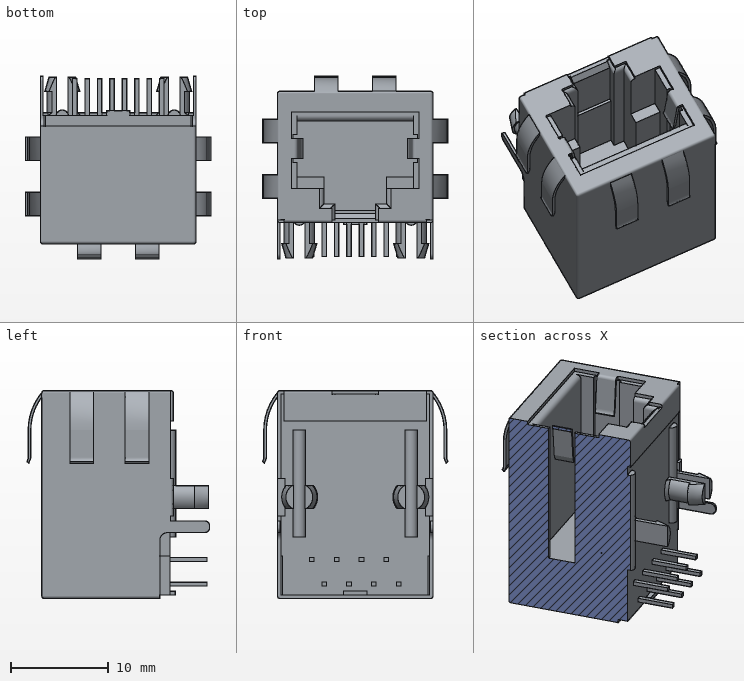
import cadquery as cq
import math


WIDTH = 15.92
DEPTH = 13.17
HEIGHT = 21.27
SHEET = 0.36
FLAP_SHEET = 0.28
EDGE_RADIUS = 0.27
HALF_WIDTH = WIDTH / 2
OVERLAP = 0.1

FLAP_HALF_WIDTH = 7.27
FLAP_BOTTOM = 18.15
SIDE_STEP_TOP = 6.75
SIDE_STEP_DEPTH = 1.1
SIDE_STEP_RADIUS = 0.8

FACE_RECESS = 0.05
HOUSING_HALF_WIDTH = HALF_WIDTH - SHEET
FOOT_HALF_WIDTH = 7.46
FOOT_TOP = 4.35
FOOT_GAP_DEPTH = 1.6
EMBED_Y = FACE_RECESS + OVERLAP
STOP_HALF_WIDTH = 1.18
STOP_HEIGHT = 0.42
STOP_PROJECTION = 0.48

SHEET_BOTTOM = HEIGHT - SHEET
WINDOW_HALF_WIDTH = 6.52
WINDOW_Y = (3.22, 11.05)
STEP_HALF_WIDTH = 3.66
STEP_Y = 1.18
NOTCH_HALF_WIDTH = 2.37
LATCH_HALF_WIDTH = 2.08
EDGE_ROUND = 0.46
CAVITY_HALF_WIDTH = 5.97
CAVITY_Y = (4.37, 10.1)
CAVITY_FLOOR = 6.0
LIP_RADIUS = 0.53
LEDGE_Z = 14.0
LATCH_WALL_Y = (0.95, 0.67)
LATCH_CHAMFER = 0.52

TAB_CENTER_Y = 7.3
TAB_WIDTH = 2.06
TAB_SLOT_WIDTH = 2.84
TAB_SLOT_HALF_WIDTH = 6.34
TAB_OUTER_X = 6.24
TAB_TIP_X = 5.35
TAB_LENGTH = 4.0
TAB_KICK = 0.17
TAB_KICK_DROP = 0.4
TAB_SHEET = 0.25

SPRING_WIDTH = 2.43
SPRING_SHEET = 0.29
SPRING_REACH = 1.40
SPRING_ROOT_Z = 21.15
SPRING_ROOT_INSET = 0.07
SPRING_STRAIGHT_TOP = 17.2
SPRING_STRAIGHT_BOTTOM = 14.39
SPRING_LIP_DROP = 0.36
SPRING_LIP = 0.13
SIDE_SPRING_Y = (3.42, 9.08)
BACK_SPRING_X = (-2.97, 2.97)

POST_X = 5.72
POST_Z = 10.38
POST_HALF_HEIGHT = 1.18
POST_SLOT = 1.16
POST_RADIUS = 1.57
COLLAR_RADIUS = 1.87
COLLAR_LENGTH = 0.28
HEAD_RADIUS = 1.80
HEAD_TIP_RADIUS = 1.37
HEAD_START = 2.43
POST_LENGTH = 3.9
RIB_RADIUS = 0.635
RIB_CENTER_Y = 0.09
RIB_Z = (6.28, 17.23)

GROUND_LEG_TIP = 4.0
GROUND_LEG_HEIGHT = 1.2
GROUND_LEG_RADIUS = 0.5
FOLD_TAB_INNER_X = 7.16
FOLD_TAB_Z = (8.43, 12.3)

PIN_WIDTH = 0.48
PIN_HEIGHT = 0.42
PIN_TIP = 3.74
PIN_PITCH = 2.54
PIN_ROWS = ((4.0, -4.445), (1.48, -3.175))
PINS_PER_ROW = 4


def box(x0, x1, y0, y1, z0, z1):
    return cq.Workplane("XY").box(x1 - x0, y1 - y0, z1 - z0, centered=False).translate((x0, y0, z0))


def span(center, length):
    return center - length / 2, center + length / 2


def mirrored(shape):
    return shape.union(shape.mirror("YZ"))


def centered_box(half_width, y0, y1, z0, z1):
    return box(-half_width, half_width, y0, y1, z0, z1)


def make_body():
    body = centered_box(HALF_WIDTH, 0, DEPTH, 0, HEIGHT)
    body = body.edges("|Y").fillet(EDGE_RADIUS).faces(">Y").edges().fillet(EDGE_RADIUS)
    body = body.cut(centered_box(HOUSING_HALF_WIDTH, 0, FACE_RECESS, SHEET, SHEET_BOTTOM))
    step = (
        cq.Workplane("YZ")
        .rect(2 * SIDE_STEP_DEPTH, 2 * SIDE_STEP_TOP)
        .extrude(WIDTH, both=True)
        .edges("|X and >Y and >Z")
        .fillet(SIDE_STEP_RADIUS)
    )
    keep = centered_box(HOUSING_HALF_WIDTH, 0, SIDE_STEP_DEPTH, FOOT_TOP, SIDE_STEP_TOP)
    keep = keep.union(centered_box(FOOT_HALF_WIDTH, 0, SIDE_STEP_DEPTH, SHEET, FOOT_TOP))
    gap = box(FOOT_HALF_WIDTH, HOUSING_HALF_WIDTH, 0, FOOT_GAP_DEPTH, SHEET, FOOT_TOP)
    return body.cut(step.cut(keep)).cut(mirrored(gap))


def make_flap():
    flap = centered_box(FLAP_HALF_WIDTH, -FLAP_SHEET, OVERLAP, FLAP_BOTTOM, HEIGHT)
    flap = flap.edges("|X and <Y and >Z").fillet(EDGE_RADIUS)
    notch = centered_box(NOTCH_HALF_WIDTH, -FLAP_SHEET, OVERLAP, SHEET_BOTTOM, HEIGHT)
    return flap.cut(notch)


def make_latch_channel():
    """Stepped channel for the plug's latch, its edges rounded just below the sheet."""
    step_x = STEP_HALF_WIDTH - EDGE_ROUND
    notch_x = LATCH_HALF_WIDTH
    step_y = STEP_Y + EDGE_ROUND
    wall_deep, wall_top = LATCH_WALL_Y
    back = CAVITY_Y[0]
    channel = centered_box(step_x, step_y, back, CAVITY_FLOOR, SHEET_BOTTOM)
    channel = channel.union(centered_box(notch_x, wall_deep, back, CAVITY_FLOOR, LEDGE_Z))
    channel = channel.union(centered_box(notch_x, wall_top, back, LEDGE_Z, SHEET_BOTTOM))
    slab_bottom = SHEET_BOTTOM - 2 * EDGE_ROUND
    slab = centered_box(2 * STEP_HALF_WIDTH, 0, WINDOW_Y[0], slab_bottom, SHEET_BOTTOM)
    shoulders = slab.cut(centered_box(step_x, step_y, back, slab_bottom, SHEET_BOTTOM))
    shoulders = shoulders.cut(centered_box(notch_x, 0, back, slab_bottom, SHEET_BOTTOM))
    channel_edges = cq.selectors.BoxSelector(
        (-STEP_HALF_WIDTH, 0, SHEET_BOTTOM - OVERLAP),
        (STEP_HALF_WIDTH, WINDOW_Y[0], SHEET_BOTTOM + OVERLAP),
    )
    shoulders = shoulders.edges(channel_edges).edges("not |Z").fillet(EDGE_ROUND)
    rounding = slab.cut(shoulders).cut(centered_box(notch_x, 0, wall_top, slab_bottom, SHEET_BOTTOM))
    chamfer = (
        cq.Workplane("YZ")
        .moveTo(wall_top, SHEET_BOTTOM)
        .lineTo(wall_top - LATCH_CHAMFER, SHEET_BOTTOM)
        .lineTo(wall_top, SHEET_BOTTOM - LATCH_CHAMFER)
        .close()
        .extrude(notch_x, both=True)
    )
    return channel.union(rounding).union(chamfer)


def make_port():
    port = centered_box(WINDOW_HALF_WIDTH, *WINDOW_Y, SHEET_BOTTOM, HEIGHT)
    port = port.union(centered_box(STEP_HALF_WIDTH, STEP_Y, WINDOW_Y[0], SHEET_BOTTOM, HEIGHT))
    port = port.union(centered_box(NOTCH_HALF_WIDTH, 0, STEP_Y, SHEET_BOTTOM, HEIGHT))
    port = port.union(centered_box(CAVITY_HALF_WIDTH, *CAVITY_Y, CAVITY_FLOOR, SHEET_BOTTOM))
    port = port.union(centered_box(CAVITY_HALF_WIDTH, WINDOW_Y[0], CAVITY_Y[0], LEDGE_Z, SHEET_BOTTOM))
    port = port.union(make_latch_channel())
    lip = centered_box(
        CAVITY_HALF_WIDTH, CAVITY_Y[1], CAVITY_Y[1] + LIP_RADIUS, SHEET_BOTTOM - LIP_RADIUS, SHEET_BOTTOM
    )
    lip_round = (
        cq.Workplane("YZ", origin=(0, CAVITY_Y[1] + LIP_RADIUS, SHEET_BOTTOM - LIP_RADIUS))
        .circle(LIP_RADIUS)
        .extrude(WIDTH, both=True)
    )
    port = port.union(lip.cut(lip_round))
    slot_y = span(TAB_CENTER_Y, TAB_SLOT_WIDTH)
    port = port.union(centered_box(TAB_SLOT_HALF_WIDTH, *slot_y, CAVITY_FLOOR, SHEET_BOTTOM))
    tab_y = span(TAB_CENTER_Y, TAB_WIDTH)
    bridge = box(TAB_OUTER_X, WINDOW_HALF_WIDTH, *tab_y, SHEET_BOTTOM, HEIGHT)
    port = port.cut(mirrored(bridge))
    return port


def make_contact_tabs():
    """Sheet tongues bent down into the port and kicked inward at the tip."""
    tip_z = HEIGHT - TAB_LENGTH
    kick_x = TAB_TIP_X + TAB_KICK
    kick_z = tip_z + TAB_KICK_DROP
    bend_rise = SHEET * math.sqrt(0.5)
    tip_rise = TAB_SHEET * math.sqrt(0.5)
    panel_x = TAB_OUTER_X - SHEET
    tab = (
        cq.Workplane("XZ", origin=(0, TAB_CENTER_Y, 0))
        .moveTo(WINDOW_HALF_WIDTH, HEIGHT)
        .lineTo(TAB_OUTER_X, HEIGHT)
        .threePointArc((TAB_OUTER_X - bend_rise, SHEET_BOTTOM + bend_rise), (panel_x, SHEET_BOTTOM))
        .lineTo(kick_x, kick_z)
        .tangentArcPoint((TAB_TIP_X, tip_z), relative=False)
        .lineTo(TAB_TIP_X + tip_rise, tip_z - tip_rise)
        .lineTo(kick_x + TAB_SHEET, kick_z)
        .lineTo(panel_x + TAB_SHEET, SHEET_BOTTOM)
        .lineTo(WINDOW_HALF_WIDTH, SHEET_BOTTOM)
        .close()
        .extrude(TAB_WIDTH / 2, both=True)
    )
    return mirrored(tab)


def make_spring():
    """Spring standing off a wall at X = 0, bowed towards +X and centred on Y = 0."""
    rise = SPRING_ROOT_Z - SPRING_STRAIGHT_TOP
    run = SPRING_REACH + SPRING_ROOT_INSET
    outer_radius = (run ** 2 + rise ** 2) / (2 * run)
    inner_radius = outer_radius - SPRING_SHEET
    center_x = SPRING_REACH - outer_radius
    root_angle = math.asin(rise / outer_radius)

    def on_arc(radius, angle):
        return (center_x + radius * math.cos(angle), SPRING_STRAIGHT_TOP + radius * math.sin(angle))

    inner_x = SPRING_REACH - SPRING_SHEET
    lip_x = SPRING_REACH + SPRING_LIP
    lip_z = SPRING_STRAIGHT_BOTTOM - SPRING_LIP_DROP
    lip_sheet = SPRING_SHEET / math.sqrt(2)
    return (
        cq.Workplane("XZ")
        .moveTo(SPRING_REACH, SPRING_STRAIGHT_TOP)
        .lineTo(SPRING_REACH, SPRING_STRAIGHT_BOTTOM)
        .tangentArcPoint((lip_x, lip_z), relative=False)
        .lineTo(lip_x - lip_sheet, lip_z - lip_sheet)
        .lineTo(inner_x, SPRING_STRAIGHT_BOTTOM)
        .lineTo(inner_x, SPRING_STRAIGHT_TOP)
        .threePointArc(on_arc(inner_radius, root_angle / 2), on_arc(inner_radius, root_angle))
        .lineTo(*on_arc(outer_radius, root_angle))
        .threePointArc(on_arc(outer_radius, root_angle / 2), (SPRING_REACH, SPRING_STRAIGHT_TOP))
        .close()
        .extrude(SPRING_WIDTH / 2, both=True)
    )


def make_springs():
    spring = make_spring()
    side_spring = spring.translate((HALF_WIDTH, 0, 0))
    back_spring = spring.rotate((0, 0, 0), (0, 0, 1), 90).translate((0, DEPTH, 0))
    springs = cq.Workplane("XY")
    for y in SIDE_SPRING_Y:
        springs = springs.add(mirrored(side_spring.translate((0, y, 0))))
    for x in BACK_SPRING_X:
        springs = springs.add(back_spring.translate((x, 0, 0)))
    return springs


def make_post():
    """Split snap-in post: revolved profile, flat top and bottom, slot along its length."""
    post = (
        cq.Workplane("XY")
        .moveTo(0, EMBED_Y)
        .lineTo(COLLAR_RADIUS, EMBED_Y)
        .lineTo(COLLAR_RADIUS, FACE_RECESS)
        .lineTo(POST_RADIUS, -COLLAR_LENGTH)
        .lineTo(POST_RADIUS, -HEAD_START)
        .lineTo(HEAD_RADIUS, -HEAD_START)
        .lineTo(HEAD_TIP_RADIUS, -POST_LENGTH)
        .lineTo(0, -POST_LENGTH)
        .close()
        .revolve(360, (0, 0, 0), (0, 1, 0))
    )
    flats = centered_box(COLLAR_RADIUS, -POST_LENGTH, DEPTH, -POST_HALF_HEIGHT, POST_HALF_HEIGHT)
    slot = centered_box(POST_SLOT / 2, -POST_LENGTH, FACE_RECESS, -POST_HALF_HEIGHT, POST_HALF_HEIGHT)
    return post.intersect(flats).cut(slot).translate((POST_X, 0, POST_Z))


def make_rib():
    length = RIB_Z[1] - RIB_Z[0]
    return cq.Workplane("XY", origin=(POST_X, RIB_CENTER_Y, RIB_Z[0])).circle(RIB_RADIUS).extrude(length)


def make_ground_leg():
    leg = box(
        HALF_WIDTH - FLAP_SHEET, HALF_WIDTH, -GROUND_LEG_TIP, SIDE_STEP_DEPTH,
        SIDE_STEP_TOP, SIDE_STEP_TOP + GROUND_LEG_HEIGHT,
    )
    return leg.edges("|X and <Y").fillet(GROUND_LEG_RADIUS)


def make_fold_tab():
    tab = box(FOLD_TAB_INNER_X, HALF_WIDTH, -FLAP_SHEET, EMBED_Y, *FOLD_TAB_Z)
    return tab.edges("|Z and <Y and >X").fillet(FLAP_SHEET)


def make_pins():
    pin = centered_box(PIN_WIDTH / 2, -PIN_TIP, EMBED_Y, *span(0, PIN_HEIGHT))
    pins = cq.Workplane("XY")
    for z, first_x in PIN_ROWS:
        for i in range(PINS_PER_ROW):
            pins = pins.add(pin.translate((first_x + i * PIN_PITCH, 0, z)))
    return pins


def make_stop():
    return centered_box(STOP_HALF_WIDTH, -STOP_PROJECTION, EMBED_Y, SHEET, SHEET + STOP_HEIGHT)


def join(base, group):
    for piece in group.vals():
        base = base.union(cq.Workplane(piece))
    return base


body = make_body().union(make_flap()).cut(make_port())
body = body.union(make_contact_tabs())
body = join(body, make_springs())
for feature in (make_post(), make_rib(), make_ground_leg(), make_fold_tab()):
    body = body.union(mirrored(feature))
body = body.union(make_stop())
result = join(body, make_pins())